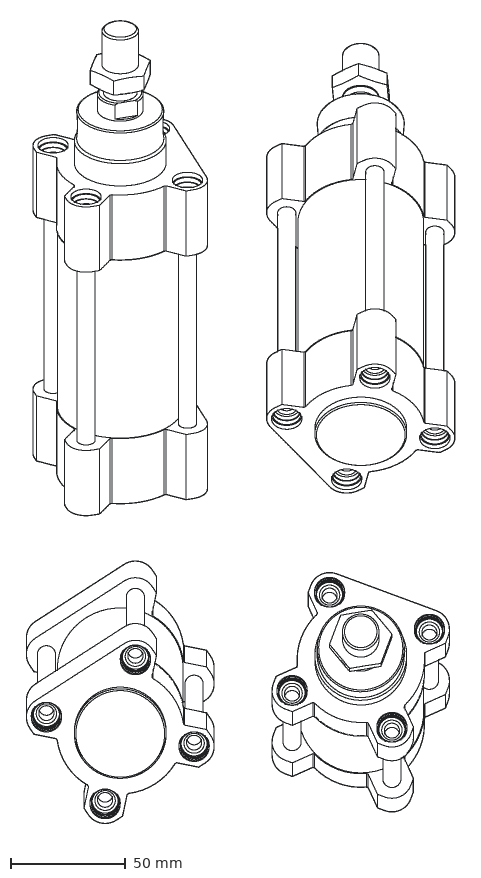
import cadquery as cq
import math

overall_length = 227.8
rear_boss_height = 3.9
cap_height = 33.0
front_cap_top = 160.1
waist_bottom = 172.5
collar_top = 187.0
wrench_flat_bottom = 188.0
shoulder_top = 195.7
undercut_bottom = 198.2
undercut_top = 198.9
thread_bottom = 201.1
nut_bottom = 201.8
nut_thickness = 8.0
rear_cap_top = rear_boss_height + cap_height
front_cap_bottom = front_cap_top - cap_height

cap_size = 64.0
cap_round_diameter = 55.5
tie_rod_spacing = 46.5
tie_rod_diameter = 8.0
lug_flat_end = 19.8
notch_floor = 25.0

barrel_diameter = 55.0
boss_diameter = 40.0
boss_chamfer = 1.03
rear_boss_chamfer = 0.7
collar_diameter = boss_diameter - 2 * boss_chamfer
collar_waist_depth = 0.35
collar_chamfer = 0.7

socket_step_diameters = (13.2, 12.0, 11.5)
socket_step_depth = 2.3
countersink_diameter = 8.9
drill_diameter = 6.5
drill_depth = 18.2
drill_tip_angle = 118.0

rod_diameter = 20.0
rod_chamfer = 0.7
wrench_flat_width = 17.0
thread_diameter = 16.0
undercut_shoulder_diameter = 14.8
undercut_diameter = 14.0
thread_chamfer = 1.0
nut_width = 24.0
hexagon_half_angle = 30.0
nut_chamfer_diameter = 23.7
nut_chamfer_height = 0.5

half_cap = cap_size / 2
tie_rod_offset = tie_rod_spacing / 2
tie_rod_points = [(x, y) for x in (-tie_rod_offset, tie_rod_offset) for y in (-tie_rod_offset, tie_rod_offset)]


def cylinder(diameter, bottom, top):
    """Cylinder on the Z axis between two heights."""
    return cq.Workplane("XY").workplane(offset=bottom).circle(diameter / 2).extrude(top - bottom)


def revolved(profile):
    """Solid of revolution about Z from (radius, height) points."""
    return cq.Workplane("XZ").polyline(profile).close().revolve(360, (0, 0), (0, 1))


def end_cap(bottom):
    """Rounded square with 45-degree notches between lugs on three sides; the +Y side stays straight."""
    cap = (
        cq.Workplane("XY").workplane(offset=bottom).rect(cap_size, cap_size).extrude(cap_height)
        .edges("|Z").fillet(half_cap - tie_rod_offset)
    )
    floor_end = lug_flat_end - (half_cap - notch_floor)
    notch = (
        cq.Workplane("XY").workplane(offset=bottom)
        .polyline([
            (-half_cap, -lug_flat_end),
            (-half_cap, lug_flat_end),
            (-notch_floor, floor_end),
            (-notch_floor, -floor_end),
        ])
        .close().extrude(cap_height)
        .cut(cylinder(cap_round_diameter, bottom, bottom + cap_height))
    )
    for angle in (0, 90, 180):
        cap = cap.cut(notch.rotate((0, 0, 0), (0, 0, 1), angle))
    return cap


def screw_socket():
    """Socket with narrowing steps over a countersunk, drilled centre, opening upwards at Z = 0."""
    profile = [(0, 0)]
    for step, diameter in enumerate(socket_step_diameters):
        step_top = -step * socket_step_depth
        profile += [(diameter / 2, step_top), (diameter / 2, step_top - socket_step_depth)]
    socket_depth = len(socket_step_diameters) * socket_step_depth
    drill_radius = drill_diameter / 2
    countersink_radius = countersink_diameter / 2
    tip_depth = drill_depth + drill_radius / math.tan(math.radians(drill_tip_angle / 2))
    profile += [
        (countersink_radius, -socket_depth),
        (drill_radius, -socket_depth - countersink_radius + drill_radius),
        (drill_radius, -drill_depth),
        (0, -tip_depth),
    ]
    return revolved(profile)


def front_collar():
    """Boss, chamfered up to a slightly waisted neck."""
    neck = collar_diameter / 2
    waist_top = collar_top - collar_chamfer
    return (
        cq.Workplane("XZ").moveTo(0, front_cap_top).lineTo(boss_diameter / 2, front_cap_top)
        .lineTo(boss_diameter / 2, waist_bottom - boss_chamfer).lineTo(neck, waist_bottom)
        .threePointArc((neck - collar_waist_depth, (waist_bottom + waist_top) / 2), (neck, waist_top))
        .lineTo(neck - collar_chamfer, collar_top).lineTo(0, collar_top)
        .close().revolve(360, (0, 0), (0, 1))
    )


def make_body():
    """Barrel, tie rods, both end caps, rear boss and front collar, bored for the piston rod."""
    body = end_cap(rear_boss_height).union(end_cap(front_cap_bottom))
    body = body.union(cylinder(barrel_diameter, rear_cap_top, front_cap_bottom))
    body = body.union(cylinder(boss_diameter, 0, rear_boss_height).faces("<Z").chamfer(rear_boss_chamfer))
    body = body.union(front_collar())
    front_socket = screw_socket().translate((0, 0, front_cap_top))
    rear_socket = screw_socket().mirror("XY").translate((0, 0, rear_boss_height))
    for x, y in tie_rod_points:
        body = body.union(cylinder(tie_rod_diameter, rear_cap_top, front_cap_bottom).translate((x, y, 0)))
        body = body.cut(front_socket.translate((x, y, 0))).cut(rear_socket.translate((x, y, 0)))
    return body.cut(cylinder(rod_diameter, front_cap_top, collar_top))


def make_piston_rod():
    """Rod with wrench flats facing X, a thread undercut and a plain threaded end."""
    rod = revolved([
        (0, front_cap_top),
        (rod_diameter / 2, front_cap_top),
        (rod_diameter / 2, shoulder_top - rod_chamfer),
        (rod_diameter / 2 - rod_chamfer, shoulder_top),
        (undercut_shoulder_diameter / 2, shoulder_top),
        (undercut_diameter / 2, undercut_bottom),
        (undercut_diameter / 2, undercut_top),
        (thread_diameter / 2, thread_bottom),
        (thread_diameter / 2, overall_length - thread_chamfer),
        (thread_diameter / 2 - thread_chamfer, overall_length),
        (0, overall_length),
    ])
    flat_height = shoulder_top - wrench_flat_bottom
    beyond = (
        cq.Workplane("XY").workplane(offset=wrench_flat_bottom)
        .rect(3 * rod_diameter, 3 * rod_diameter).rect(wrench_flat_width, 2 * rod_diameter)
        .extrude(flat_height)
    )
    return rod.cut(beyond)


def make_nut():
    """Hexagon nut with flats facing X, chamfered at both ends."""
    corner = nut_width / math.cos(math.radians(hexagon_half_angle))
    nut = (
        cq.Workplane("XY").workplane(offset=nut_bottom).polygon(6, corner).extrude(nut_thickness)
        .rotate((0, 0, 0), (0, 0, 1), hexagon_half_angle)
    )
    nut_top = nut_bottom + nut_thickness
    chamfer_envelope = revolved([
        (0, nut_bottom),
        (nut_chamfer_diameter / 2, nut_bottom),
        (corner / 2, nut_bottom + nut_chamfer_height),
        (corner / 2, nut_top - nut_chamfer_height),
        (nut_chamfer_diameter / 2, nut_top),
        (0, nut_top),
    ])
    return nut.intersect(chamfer_envelope).cut(cylinder(thread_diameter, nut_bottom, nut_top))


body = make_body()
piston_rod = make_piston_rod()
nut = make_nut()

result = cq.Compound.makeCompound([body.val(), piston_rod.val(), nut.val()])